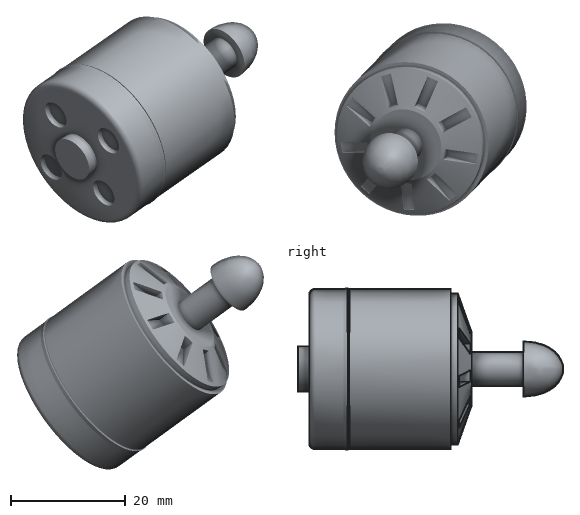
import cadquery as cq
import math

boss_diameter = 8.0
body_diameter = 27.9
lip_diameter = 28.2
core_diameter = 12.85
collar_diameter = 26.35
shaft_diameter = 6.0
nose_diameter = 9.6

boss_length = 2.0
base_length = 6.0
lip_length = 0.7
gap_length = 0.3
bell_length = 17.7
collar_length = 1.2
cone_length = 2.4
shaft_length = 9.0
nose_rim_length = 0.3
overall_length = 46.2

base_fillet = 1.0

mount_hole_diameter = 5.0
mount_hole_depth = 1.0
long_pair_spacing = 19.0
short_pair_spacing = 16.0

vent_count = 9
vent_width = 2.0
vent_inner_radius = 7.02
vent_outer_radius = 12.48

base_start = boss_length
lip_start = base_start + base_length
gap_start = lip_start + lip_length
bell_start = gap_start + gap_length
collar_start = bell_start + bell_length
cone_start = collar_start + collar_length
cone_end = cone_start + cone_length
nose_start = cone_end + shaft_length
dome_start = nose_start + nose_rim_length


def cylinder(diameter, start, end):
    """Cylinder on the Y axis between two axial stations."""
    plane = cq.Workplane("XZ", origin=(0, start, 0))
    return plane.circle(diameter / 2).extrude(start - end)


def revolved(profile):
    """Turn a closed half profile in the XY plane about the Y axis."""
    return profile.close().revolve(360, (0, 0), (0, 1))


def make_base():
    base = cylinder(body_diameter, base_start, lip_start).faces("<Y").edges().fillet(base_fillet)
    lip = revolved(
        cq.Workplane("XY")
        .moveTo(0, lip_start)
        .lineTo(body_diameter / 2, lip_start)
        .lineTo(lip_diameter / 2, gap_start)
        .lineTo(0, gap_start)
    )
    return base.union(lip).union(cylinder(boss_diameter, 0, base_start))


def make_mount_holes():
    centers = []
    for spacing, diagonal in ((long_pair_spacing, 45), (short_pair_spacing, 135)):
        for angle in (diagonal, diagonal + 180):
            radians = math.radians(angle)
            centers.append((spacing / 2 * math.cos(radians), spacing / 2 * math.sin(radians)))
    plane = cq.Workplane("XZ", origin=(0, base_start, 0))
    return plane.pushPoints(centers).circle(mount_hole_diameter / 2).extrude(-mount_hole_depth)


def make_cone():
    return revolved(
        cq.Workplane("XY")
        .moveTo(0, cone_start)
        .lineTo(collar_diameter / 2, cone_start)
        .lineTo(core_diameter / 2, cone_end)
        .lineTo(0, cone_end)
    )


def make_vents():
    """Radial slots cut axially to the foot of the cone; one of them points to -Z."""
    slot = cq.Workplane("XY").box(
        vent_width,
        cone_length,
        vent_outer_radius - vent_inner_radius,
        centered=(True, False, False),
    ).translate((0, cone_start, vent_inner_radius))
    vents = cq.Workplane("XY")
    for index in range(vent_count):
        angle = 180 + index * 360 / vent_count
        vents = vents.add(slot.rotate((0, 0, 0), (0, 1, 0), angle))
    return vents.combine()


def make_nose():
    """Short cylindrical rim topped by a half-ellipsoid dome."""
    radius = nose_diameter / 2
    dome_height = overall_length - dome_start
    return revolved(
        cq.Workplane("XY")
        .moveTo(0, nose_start)
        .lineTo(radius, nose_start)
        .lineTo(radius, dome_start)
        .spline(
            [
                (
                    radius * math.cos(math.radians(angle)),
                    dome_start + dome_height * math.sin(math.radians(angle)),
                )
                for angle in range(15, 91, 15)
            ],
            tangents=[(0, 1), (-1, 0)],
            includeCurrent=True,
        )
    )


result = (
    make_base()
    .cut(make_mount_holes())
    .union(cylinder(core_diameter, gap_start, bell_start))
    .union(cylinder(body_diameter, bell_start, collar_start))
    .union(cylinder(collar_diameter, collar_start, cone_start))
    .union(make_cone())
    .cut(make_vents())
    .union(cylinder(shaft_diameter, cone_end, nose_start))
    .union(make_nose())
)